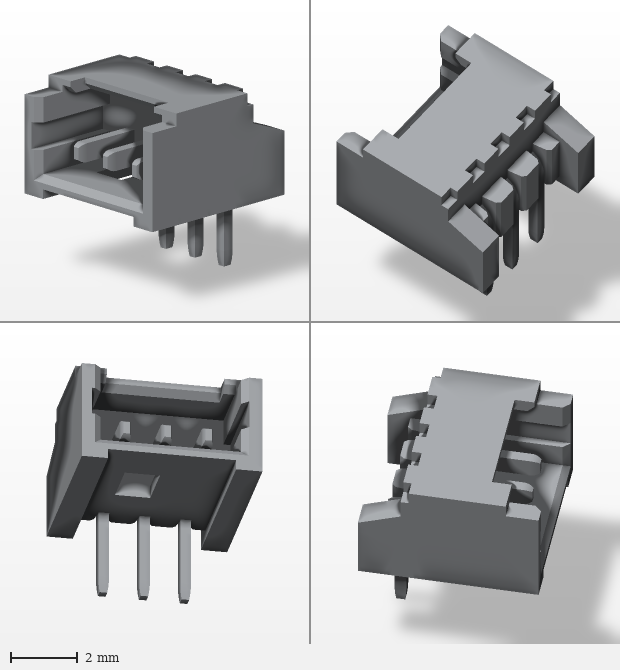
import cadquery as cq
import math


width = 5.5
depth = 5.5
height = 3.5
overall_height = 5.8
wall_back = 4.2
foot_width = 0.8
standoff = 0.3
foot_rear_height = 2.0
foot_slope_top = 2.5
step_height = 3.1
step_depth = 1.0
relief_width = 3.585
relief_depth = 1.6
rear_block_back = 4.795

cavity_width = 4.28
cavity_floor = 0.695
cavity_top = step_height
cavity_depth = 2.97
mouth_chamfer = 0.205
roof_chamfer = 0.215
slot_bottom = 1.45
slot_top = 2.3
left_slot_reach = 2.45
right_slot_reach = 2.35

window_front = 1.45
window_width = 1.075

pin_notch_width = 0.555
pin_notch_depth = 0.3
corner_notch_width = 0.445
corner_notch_depth = 0.25

pitch = 1.245
pin_positions = [-pitch, 0, pitch]
pin_width = 0.325
blade_bottom = 1.13
blade_top = 1.72
blade_front = 0.695
blade_tip_length = 0.3
blade_tip_width_inset = 0.065
blade_tip_height_inset = 0.105
leg_front = 4.28
leg_back = 4.635
bend_radius = 0.87
leg_bottom = height - overall_height
leg_tip_length = 0.505
leg_tip_width_inset = 0.045
leg_tip_depth_inset = 0.04
blade_height = blade_top - blade_bottom
leg_depth = leg_back - leg_front

channel_throat_half = 0.22
channel_throat_back = 4.675
channel_mouth_half = 0.325


def block(x_min, x_max, y_min, y_max, z_min, z_max):
    """Axis-aligned block between the given limits."""
    size = (x_max - x_min, y_max - y_min, z_max - z_min)
    return cq.Workplane("XY").box(*size, centered=False).translate((x_min, y_min, z_min))


def centred_block(x_centre, x_size, *limits):
    """Block centred on x_centre with the given Y and Z limits."""
    return block(x_centre - x_size / 2, x_centre + x_size / 2, *limits)


def make_shell():
    """Full-height shell, two sloped rear feet and the block between them."""
    side_outline = [
        (0, 0),
        (depth, 0),
        (depth, foot_rear_height),
        (wall_back, foot_slope_top),
        (wall_back, height),
        (step_depth, height),
        (step_depth, step_height),
        (0, step_height),
    ]
    shell = cq.Workplane("YZ").polyline(side_outline).close().extrude(width / 2, both=True)
    gap = width - 2 * foot_width
    shell = shell.cut(centred_block(0, gap, 0, depth, 0, standoff))
    shell = shell.cut(centred_block(0, gap, wall_back, depth, 0, height))
    rear_block = centred_block(0, gap, wall_back, rear_block_back, standoff, foot_rear_height)
    return shell.union(rear_block)


def make_roof_chamfer(edge_y, edge_width):
    """45 degree wedge under a front edge of the roof, rising forward from the cavity ceiling."""
    outline = [
        (edge_y, cavity_top),
        (edge_y + roof_chamfer, cavity_top),
        (edge_y, cavity_top + roof_chamfer),
    ]
    return cq.Workplane("YZ").polyline(outline).close().extrude(edge_width / 2, both=True)


def make_cavity():
    """Mating cavity with side slots and a chamfered mouth, open through the roof relief."""
    half = cavity_width / 2
    cavity = block(-half, half, 0, cavity_depth, cavity_floor, cavity_top)
    slots = block(-left_slot_reach, right_slot_reach, 0, cavity_depth, slot_bottom, slot_top)
    relief = centred_block(0, relief_width, 0, relief_depth, cavity_floor, height)
    mouth_outline = [
        (-half - mouth_chamfer, 0),
        (half + mouth_chamfer, 0),
        (half, mouth_chamfer),
        (-half, mouth_chamfer),
    ]
    mouth_sides = (
        cq.Workplane("XY", origin=(0, 0, cavity_floor - mouth_chamfer))
        .polyline(mouth_outline).close()
        .extrude(step_height - cavity_floor + mouth_chamfer)
    )
    floor_slope = [
        (0, cavity_floor - mouth_chamfer),
        (mouth_chamfer, cavity_floor),
        (mouth_chamfer, height),
        (0, height),
    ]
    mouth_floor = cq.Workplane("YZ").polyline(floor_slope).close().extrude(width / 2, both=True)
    mouth = mouth_sides.intersect(mouth_floor)
    window = centred_block(-pitch / 2, window_width, window_front, cavity_depth, 0, cavity_floor)
    side_edges = make_roof_chamfer(step_depth, cavity_width)
    relief_edge = make_roof_chamfer(relief_depth, relief_width)
    for opening in (slots, relief, mouth, window, side_edges, relief_edge):
        cavity = cavity.union(opening)
    return cavity


def make_roof_notches():
    """Notches in the rear roof edge: one behind each pin and one at each corner."""
    corner_position = (width - corner_notch_width) / 2
    places = [(x, pin_notch_width, pin_notch_depth) for x in pin_positions]
    places += [(x, corner_notch_width, corner_notch_depth) for x in (-corner_position, corner_position)]
    notches = cq.Workplane("XY")
    for x, notch_width, notch_depth in places:
        notch_front = wall_back - notch_depth
        notches = notches.add(
            centred_block(x, notch_width, notch_front, wall_back, step_height, height)
        )
    return notches.combine()


def make_channels():
    """Flared vertical channels through the rear block."""
    right_side = [
        (pin_width / 2, wall_back),
        (pin_width / 2, leg_front),
        (channel_throat_half, channel_throat_back),
        (channel_mouth_half, rear_block_back),
    ]
    left_side = [(-x, y) for x, y in reversed(right_side)]
    channel = cq.Workplane("XY").polyline(right_side + left_side).close().extrude(height)
    channels = cq.Workplane("XY")
    for x in pin_positions:
        channels = channels.add(channel.translate((x, 0, 0)))
    return channels.combine()


def tip_outline(plane, thickness, base, tip, length, inset):
    """Bar centred on the second plane axis, running along the first from base to tip.

    The last stretch of the given length curves in by inset on both sides,
    along arcs tangent to the straight sides.
    """
    direction = math.copysign(1, tip - base)
    shoulder = tip - direction * length
    radius = (length ** 2 + inset ** 2) / (2 * inset)
    half_angle = math.asin(length / radius) / 2
    middle = shoulder + direction * radius * math.sin(half_angle)
    half = thickness / 2
    middle_half = half - radius * (1 - math.cos(half_angle))
    tip_half = half - inset
    return (
        plane.moveTo(base, -half)
        .lineTo(shoulder, -half)
        .threePointArc((middle, -middle_half), (tip, -tip_half))
        .lineTo(tip, tip_half)
        .threePointArc((middle, middle_half), (shoulder, half))
        .lineTo(base, half)
        .close()
    )


def make_pin():
    """Bent pin at X = 0: rounded blade tip at the front, solder leg down at the back."""
    blade_z = (blade_bottom + blade_top) / 2
    leg_y = (leg_front + leg_back) / 2

    blade_plan = cq.Workplane(cq.Plane((0, 0, blade_z), xDir=(0, 1, 0), normal=(0, 0, 1)))
    blade_side = cq.Workplane("YZ", origin=(0, 0, blade_z))
    blade = tip_outline(
        blade_plan, pin_width, leg_back, blade_front, blade_tip_length, blade_tip_width_inset
    ).extrude(blade_height, both=True)
    blade = blade.intersect(
        tip_outline(
            blade_side, blade_height, leg_back, blade_front, blade_tip_length, blade_tip_height_inset
        ).extrude(pin_width, both=True)
    )

    leg_face = cq.Workplane(cq.Plane((0, leg_y, 0), xDir=(0, 0, 1), normal=(0, 1, 0)))
    leg_side = cq.Workplane(cq.Plane((0, leg_y, 0), xDir=(0, 0, 1), normal=(1, 0, 0)))
    leg = tip_outline(
        leg_face, pin_width, blade_top, leg_bottom, leg_tip_length, leg_tip_width_inset
    ).extrude(leg_depth, both=True)
    leg = leg.intersect(
        tip_outline(
            leg_side, leg_depth, blade_top, leg_bottom, leg_tip_length, leg_tip_depth_inset
        ).extrude(pin_width, both=True)
    )
    pin = blade.union(leg).clean()
    return pin.edges("|X and >Y and >Z").fillet(bend_radius)


result = make_shell().cut(make_cavity()).cut(make_roof_notches()).cut(make_channels())
pin = make_pin()
for x in pin_positions:
    result = result.union(pin.translate((x, 0, 0)))